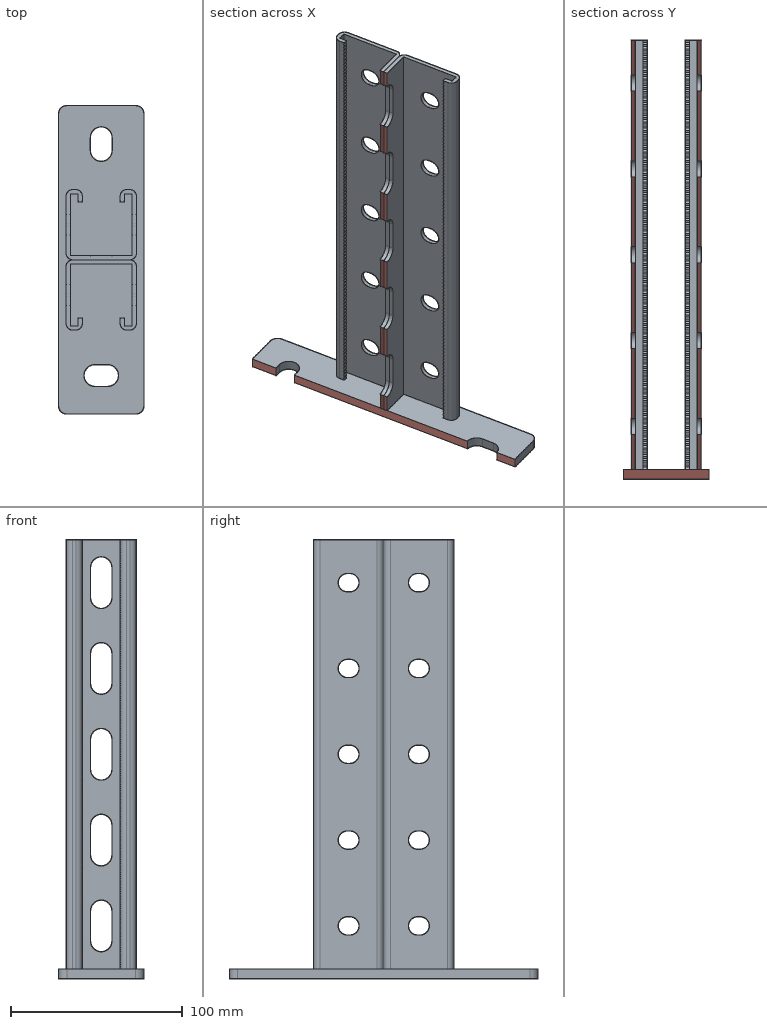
import cadquery as cq

TOTAL_HEIGHT = 256.0
PLATE_WIDTH = 50.0
PLATE_LENGTH = 180.0
PLATE_THICKNESS = 6.0
PLATE_CORNER_RADIUS = 4.9

PLATE_SLOT_LENGTH = 20.0
PLATE_SLOT_WIDTH = 12.5
PLATE_SLOT_INSET = 22.5

CHANNEL_SIZE = 41.0
CHANNEL_HEIGHT = TOTAL_HEIGHT - PLATE_THICKNESS
SHEET = 2.5
BEND_RADIUS = 3.8
FLANGE_WIDTH = 9.5
LIP_DEPTH = 7.2

HOLE_ROWS = 5
HOLE_PITCH = CHANNEL_HEIGHT / HOLE_ROWS
WEB_SLOT_LENGTH = 30.0
WEB_SLOT_WIDTH = 12.3
SIDE_SLOT_LENGTH = 12.0
SIDE_SLOT_WIDTH = 10.5

TEETH_PER_ROW = 20
TOOTH_COUNT = TEETH_PER_ROW * HOLE_ROWS
TOOTH_PITCH = CHANNEL_HEIGHT / TOOTH_COUNT
TOOTH_DEPTH = 0.5


def make_base_plate():
    """Flat foot plate with one slot along Y at the back and one along X at the front."""
    plate = (
        cq.Workplane("XY")
        .box(PLATE_WIDTH, PLATE_LENGTH, PLATE_THICKNESS, centered=(True, True, False))
        .edges("|Z")
        .fillet(PLATE_CORNER_RADIUS)
    )
    slot_y = PLATE_LENGTH / 2 - PLATE_SLOT_INSET
    for y, angle in ((slot_y, 90), (-slot_y, 0)):
        slot = (
            cq.Workplane("XY")
            .center(0, y)
            .slot2D(PLATE_SLOT_LENGTH, PLATE_SLOT_WIDTH, angle)
            .extrude(PLATE_THICKNESS)
        )
        plate = plate.cut(slot)
    return plate


def make_trough(width, depth):
    """U-bent sheet of channel height: floor on the XZ plane, opening toward +Y."""
    outside = (
        cq.Workplane("XY")
        .box(width, depth, CHANNEL_HEIGHT, centered=(True, False, False))
        .edges("|Z and <Y")
        .fillet(BEND_RADIUS)
    )
    inside = (
        cq.Workplane("XY")
        .box(width - 2 * SHEET, depth - SHEET, CHANNEL_HEIGHT, centered=(True, False, False))
        .translate((0, SHEET, 0))
    )
    return outside.cut(inside)


def make_lipped_profile():
    """Channel with its web at Y = 0 and a lip folded back on each side of its mouth."""
    profile = make_trough(CHANNEL_SIZE, CHANNEL_SIZE - LIP_DEPTH)
    fold = make_trough(FLANGE_WIDTH, LIP_DEPTH).rotate((0, 0, 0), (0, 0, 1), 180)
    fold_x = (CHANNEL_SIZE - FLANGE_WIDTH) / 2
    for x in (-fold_x, fold_x):
        profile = profile.union(fold.translate((x, CHANNEL_SIZE, 0)))
    return profile


def make_tooth_cutter():
    """Zigzag strip that cuts V notches into both lip ends, leaving pointed teeth."""
    tip_y = CHANNEL_SIZE - LIP_DEPTH
    root_y = tip_y + TOOTH_DEPTH
    outline = [(tip_y, 0)]
    for tooth in range(TOOTH_COUNT):
        outline.append((root_y, (tooth + 0.5) * TOOTH_PITCH))
        outline.append((tip_y, (tooth + 1) * TOOTH_PITCH))
    lip_back_x = CHANNEL_SIZE / 2 - FLANGE_WIDTH + SHEET
    outline.append((tip_y - SHEET, CHANNEL_HEIGHT))
    outline.append((tip_y - SHEET, 0))
    return cq.Workplane("YZ").polyline(outline).close().extrude(lip_back_x, both=True)


def make_channel():
    """Perforated channel: upright slots in the web, short level slots through both sides."""
    row_heights = [(row + 0.5) * HOLE_PITCH for row in range(HOLE_ROWS)]
    web_slots = (
        cq.Workplane("XZ")
        .pushPoints([(0, z) for z in row_heights])
        .slot2D(WEB_SLOT_LENGTH, WEB_SLOT_WIDTH, 90)
        .extrude(-SHEET)
    )
    side_slots = (
        cq.Workplane("YZ")
        .pushPoints([(CHANNEL_SIZE / 2, z) for z in row_heights])
        .slot2D(SIDE_SLOT_LENGTH, SIDE_SLOT_WIDTH)
        .extrude(CHANNEL_SIZE / 2, both=True)
    )
    channel = make_lipped_profile()
    for cutter in (make_tooth_cutter(), web_slots, side_slots):
        channel = channel.cut(cutter)
    return channel.translate((0, 0, PLATE_THICKNESS))


base_plate = make_base_plate()

channels = []
for turn in (0, 180):
    channel = make_channel().rotate((0, 0, 0), (0, 0, 1), turn)
    channels.append(channel.val())

result = cq.Compound.makeCompound([base_plate.val(), *channels])